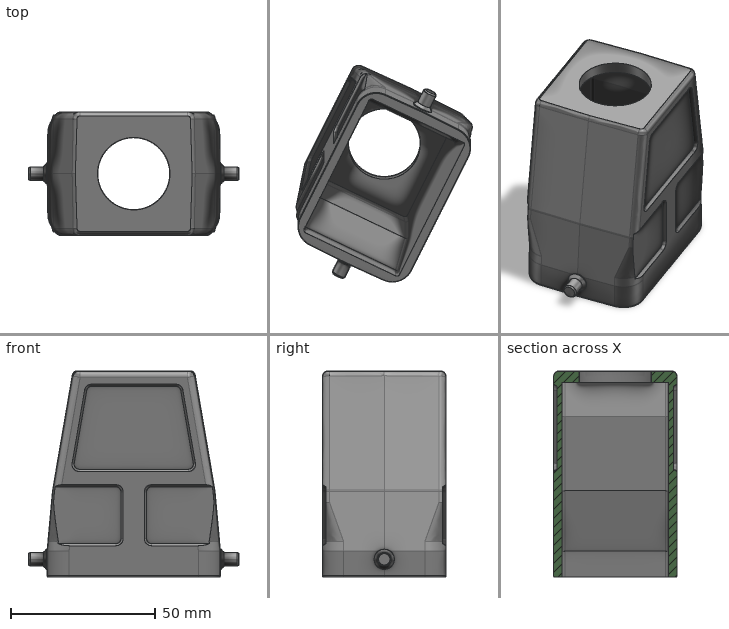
import cadquery as cq
import math

HEIGHT = 71.5
HALF_DEPTH = 21.5
PIN_TIP_X = 36.5

BASE_TOP_Z = 9.0
BLEND_START_Z = 12.4
BLEND_END_Z = 26.0
SHOULDER_Z = 30.0
SHOULDER_BEVEL = 0.2
BASE_HALF_WIDTH = 30.1
SHOULDER_HALF_WIDTH = 28.2
TOP_HALF_WIDTH = 21.1
RIDGE_SLOPE = 0.018
BASE_CORNER_RADIUS = 7.4
UPPER_CORNER_RADIUS = 2.5
CROWN_EDGE_RISE = 0.15
CROWN_RIDGE_RISE = 0.3
TOP_FILLET = 2.25
BOTTOM_CHAMFER_HEIGHT = 0.5
BOTTOM_CHAMFER_INSET = 0.2

ROOF_THICKNESS = 4.0
CAVITY_HALF_DEPTH = 18.4
CAVITY_BASE_HALF_WIDTH = 26.5
CAVITY_NECK_HALF_WIDTH = 19.2
CAVITY_TOP_HALF_WIDTH = 20.2
CAVITY_FLARE_START_Z = 55.7
CAVITY_CORNER_RADIUS = 1.0
CABLE_HOLE_DIAMETER = 25.0

PANEL_DEPTH = 1.2
PANEL_WALL_INSET = 0.75
PANEL_CORNER_RADIUS = 2.5
WINDOW_BOTTOM_Z = 36.7
WINDOW_TOP_Z = 67.0
WINDOW_BOTTOM_HALF_WIDTH = 21.9
WINDOW_TOP_HALF_WIDTH = 16.7
GRIP_BOTTOM_Z = 10.9
GRIP_TOP_Z = 32.1
GRIP_INNER_X = 3.7
GRIP_OUTER_X = PIN_TIP_X

PIN_Z = 6.2
PIN_DIAMETER = 4.8
PIN_TIP_DIAMETER = 4.0
PIN_CHAMFER_LENGTH = 0.6
PIN_COLLAR_DIAMETER = 7.0
COLLAR_RIM_X = 30.3
COLLAR_END_X = 31.4
PIN_ROOT_X = 28.5


def interpolate(value, start, end, start_result, end_result):
    return start_result + (end_result - start_result) * (value - start) / (end - start)


def section(z, half_width, radius, half_depth=HALF_DEPTH):
    """Rounded rectangle at height z whose two X ends come to a shallow ridge at Y = 0."""
    flat_y = half_depth - radius
    end_x = half_width - RIDGE_SLOPE * flat_y
    flat_x = end_x - radius
    diagonal = radius * math.cos(math.radians(45))
    arc_x = flat_x + diagonal
    arc_y = flat_y + diagonal
    return (
        cq.Workplane("XY", origin=(0, 0, z))
        .moveTo(-flat_x, -half_depth)
        .lineTo(flat_x, -half_depth)
        .threePointArc((arc_x, -arc_y), (end_x, -flat_y))
        .lineTo(half_width, 0)
        .lineTo(end_x, flat_y)
        .threePointArc((arc_x, arc_y), (flat_x, half_depth))
        .lineTo(-flat_x, half_depth)
        .threePointArc((-arc_x, arc_y), (-end_x, flat_y))
        .lineTo(-half_width, 0)
        .lineTo(-end_x, -flat_y)
        .threePointArc((-arc_x, -arc_y), (-flat_x, -half_depth))
        .close()
        .val()
    )


def lower_section(z, radius):
    """Section between the base and the shoulder, where the end walls taper gently."""
    half_width = interpolate(z, BASE_TOP_Z, SHOULDER_Z, BASE_HALF_WIDTH, SHOULDER_HALF_WIDTH)
    return section(z, half_width, radius)


def upper_section(z):
    """Section above the shoulder, where the end walls taper strongly."""
    half_width = interpolate(z, SHOULDER_Z, HEIGHT, SHOULDER_HALF_WIDTH, TOP_HALF_WIDTH)
    return section(z, half_width, UPPER_CORNER_RADIUS)


def crown_envelope(edge_z, ridge_z):
    """Block with a shallow gable along X that gives the roof its crown."""
    return (
        cq.Workplane("YZ")
        .moveTo(-HALF_DEPTH, 0)
        .lineTo(HALF_DEPTH, 0)
        .lineTo(HALF_DEPTH, edge_z)
        .lineTo(0, ridge_z)
        .lineTo(-HALF_DEPTH, edge_z)
        .close()
        .extrude(PIN_TIP_X, both=True)
    )


def selection_box(half_x, half_y, bottom_z, top_z):
    """Selector for edges centred in a box around the Z axis."""
    margin = 0.1
    return cq.selectors.BoxSelector(
        (-half_x - margin, -half_y - margin, bottom_z),
        (half_x + margin, half_y + margin, top_z + margin),
    )


def outer_body():
    """Lofted shell with a rounded, slightly crowned top that is cut flat at the full height."""
    crown_edge_z = HEIGHT + CROWN_EDGE_RISE
    crown_ridge_z = HEIGHT + CROWN_RIDGE_RISE
    bottom = section(
        0,
        BASE_HALF_WIDTH - BOTTOM_CHAMFER_INSET,
        BASE_CORNER_RADIUS - BOTTOM_CHAMFER_INSET,
        HALF_DEPTH - BOTTOM_CHAMFER_INSET,
    )
    wires = [
        bottom,
        section(BOTTOM_CHAMFER_HEIGHT, BASE_HALF_WIDTH, BASE_CORNER_RADIUS),
        lower_section(BASE_TOP_Z, BASE_CORNER_RADIUS),
        lower_section(BLEND_START_Z, BASE_CORNER_RADIUS),
        lower_section(BLEND_END_Z, UPPER_CORNER_RADIUS),
        lower_section(SHOULDER_Z - SHOULDER_BEVEL, UPPER_CORNER_RADIUS),
        upper_section(SHOULDER_Z + SHOULDER_BEVEL),
        upper_section(crown_ridge_z + TOP_FILLET),
    ]
    body = cq.Workplane(cq.Solid.makeLoft(wires, True)).clean()
    body = body.intersect(crown_envelope(crown_edge_z, crown_ridge_z))
    roof_zone = selection_box(PIN_TIP_X, HALF_DEPTH, HEIGHT, crown_ridge_z)
    crown_ridge = selection_box(0, 0, HEIGHT, crown_ridge_z)
    body = body.edges(roof_zone - crown_ridge).fillet(TOP_FILLET)
    return body.intersect(crown_envelope(HEIGHT, HEIGHT))


def cavity():
    profile = [
        (CAVITY_BASE_HALF_WIDTH, 0),
        (CAVITY_BASE_HALF_WIDTH, BASE_TOP_Z),
        (CAVITY_NECK_HALF_WIDTH, SHOULDER_Z),
        (CAVITY_NECK_HALF_WIDTH, CAVITY_FLARE_START_Z),
        (CAVITY_TOP_HALF_WIDTH, HEIGHT - ROOF_THICKNESS),
    ]
    mirrored = [(-x, z) for x, z in reversed(profile)]
    room = (
        cq.Workplane("XZ")
        .polyline(profile + mirrored)
        .close()
        .extrude(CAVITY_HALF_DEPTH, both=True)
    )
    room = room.faces("<Y or >Y").edges("not |X").fillet(CAVITY_CORNER_RADIUS)
    hole = cq.Workplane("XY").circle(CABLE_HOLE_DIAMETER / 2).extrude(HEIGHT)
    return room.union(hole)


def panel_cutter(corners):
    """Recess in the -Y face with rounded corners and walls sloping in to a flat floor."""
    prism = (
        cq.Workplane("XZ", origin=(0, -HALF_DEPTH, 0))
        .polyline(corners)
        .close()
        .extrude(-PANEL_DEPTH)
        .edges("|Y")
        .fillet(PANEL_CORNER_RADIUS)
    )
    outline = prism.faces("<Y").wires().toPending()
    slope = math.degrees(math.atan2(PANEL_WALL_INSET, PANEL_DEPTH))
    return outline.extrude(-PANEL_DEPTH, combine=False, taper=slope)


def panel_cutters():
    window = panel_cutter([
        (-WINDOW_BOTTOM_HALF_WIDTH, WINDOW_BOTTOM_Z),
        (WINDOW_BOTTOM_HALF_WIDTH, WINDOW_BOTTOM_Z),
        (WINDOW_TOP_HALF_WIDTH, WINDOW_TOP_Z),
        (-WINDOW_TOP_HALF_WIDTH, WINDOW_TOP_Z),
    ])
    grip = panel_cutter([
        (GRIP_INNER_X, GRIP_BOTTOM_Z),
        (GRIP_OUTER_X, GRIP_BOTTOM_Z),
        (GRIP_OUTER_X, GRIP_TOP_Z),
        (GRIP_INNER_X, GRIP_TOP_Z),
    ])
    front_cutters = [window, grip, grip.mirror("YZ")]
    return front_cutters + [cutter.mirror("XZ") for cutter in front_cutters]


def locking_pin():
    """Pin on the +X end, turned about an axis parallel to X."""
    radius = PIN_DIAMETER / 2
    tip_radius = PIN_TIP_DIAMETER / 2
    collar_radius = PIN_COLLAR_DIAMETER / 2
    return (
        cq.Workplane("XY", origin=(0, 0, PIN_Z))
        .moveTo(PIN_ROOT_X, 0)
        .lineTo(PIN_ROOT_X, collar_radius)
        .lineTo(COLLAR_RIM_X, collar_radius)
        .lineTo(COLLAR_END_X, radius)
        .lineTo(PIN_TIP_X - PIN_CHAMFER_LENGTH, radius)
        .lineTo(PIN_TIP_X, tip_radius)
        .lineTo(PIN_TIP_X, 0)
        .close()
        .revolve(360, (0, 0, 0), (1, 0, 0))
    )


hood = outer_body().cut(cavity())
for cutter in panel_cutters():
    hood = hood.cut(cutter)
pin = locking_pin()
result = hood.union(pin).union(pin.mirror("YZ"))